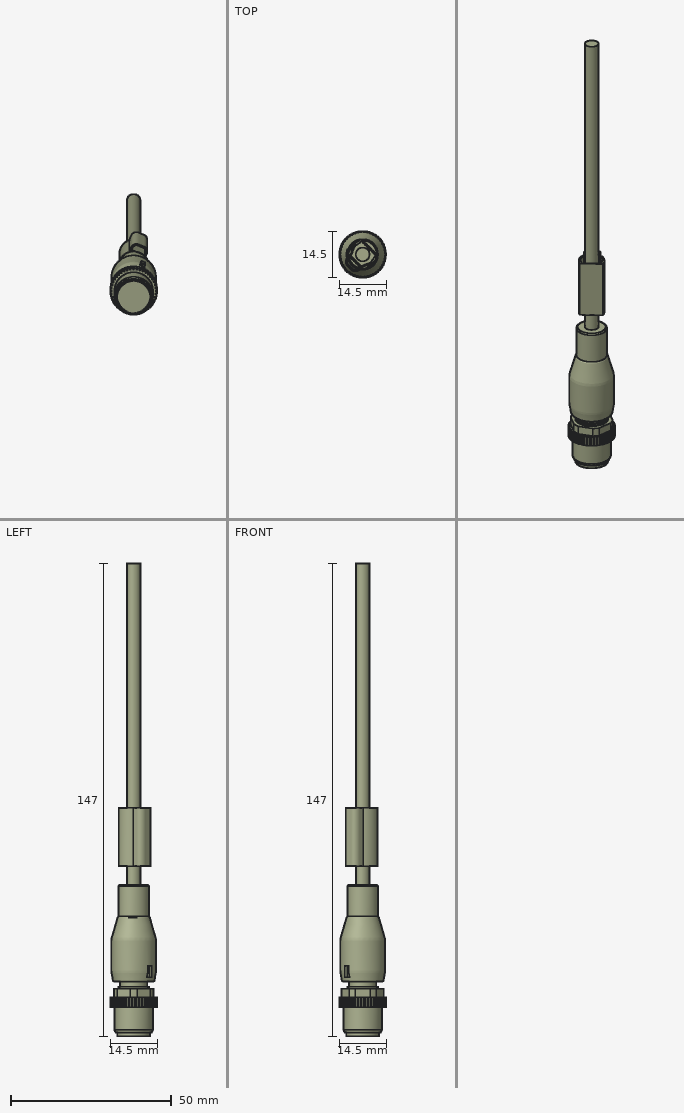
import cadquery as cq
import math

TOTAL_LENGTH = 147.0
DIAGONAL_ANGLE = 225.0

COLLAR_DIAMETER = 10.3
FLANGE_DIAMETER = 9.7
FLANGE_HEIGHT = 0.6
NECK_DIAMETER = 8.5

NUT_BOTTOM_Z = 1.2
KNURL_BOTTOM_Z = 9.1
KNURL_TOP_Z = 12.2
NUT_TOP_Z = 14.8
SHELL_DIAMETER = 12.0
SHELL_CHAMFER_HEIGHT = 0.9
SHELL_CHAMFER_WIDTH = 0.5
KNURL_DIAMETER = 14.5
KNURL_DEPTH = 0.5
KNURL_TEETH = 44
TOOTH_TIP_SHARE = 0.6
TOOTH_ROOT_SHARE = 0.2
HEX_SIDES = 6
HEX_TURN = 30.0
HEX_ACROSS_FLATS = 12.3
HEX_ROUNDING_DIAMETER = 13.2

HOUSING_BOTTOM_Z = 17.0
FOOT_TOP_Z = 20.1
CONE_BOTTOM_Z = 30.3
CONE_TOP_Z = 36.9
SHOULDER_HEIGHT = 0.5
HOUSING_TOP_Z = 47.2
FOOT_DIAMETER = 13.0
HOUSING_DIAMETER = 14.0
CONE_TOP_DIAMETER = 10.1
SPOUT_DIAMETER = 9.5
SPOUT_CHAMFER = 0.5
FOOT_FILLET = 0.6
FOOT_BLEND_RADIUS = 4.4
CONE_BLEND_RADIUS = 3.4

KEY_REACH = 7.4
KEY_BASE_RADIUS = 6.6
KEY_BASE_WIDTH = 1.8
KEY_CREST_WIDTH = 1.2
KEY_BOTTOM_Z = 18.4
KEY_TOP_Z = 21.9

CABLE_DIAMETER = 4.3
CABLE_BOTTOM_Z = CONE_BOTTOM_Z

SLEEVE_BOTTOM_Z = 52.9
SLEEVE_LENGTH = 18.1
SLEEVE_WALL = 0.5
SLEEVE_BACK = -3.1
SLEEVE_BACK_HALF_WIDTH = 3.5
SLEEVE_HALF_WIDTH = 4.0
SLEEVE_SHOULDER = 2.5
LABEL_HALF_WIDTH = 2.6
LABEL_FRONT = 5.9
LABEL_CORNER_RADIUS = 1.8
PARTITION_BACK = 3.0


def cylinder(bottom_z, top_z, diameter):
    """Cylinder on the plug axis."""
    return cq.Workplane("XY").workplane(offset=bottom_z).circle(diameter / 2).extrude(top_z - bottom_z)


def at_height(z):
    """Narrow selector for the edges of a revolved body at one height."""
    reach = HOUSING_DIAMETER
    margin = 0.07
    return cq.selectors.BoxSelector((-reach, -reach, z - margin), (reach, reach, z + margin))


def make_insert():
    flange_top_z = NUT_TOP_Z + FLANGE_HEIGHT
    core = cylinder(0, NUT_TOP_Z, COLLAR_DIAMETER)
    flange = cylinder(NUT_TOP_Z, flange_top_z, FLANGE_DIAMETER)
    neck = cylinder(flange_top_z, HOUSING_BOTTOM_Z, NECK_DIAMETER)
    return core.union(flange).union(neck)


def make_knurled_ring():
    tip_radius = KNURL_DIAMETER / 2
    root_radius = tip_radius - KNURL_DEPTH
    pitch = 2 * math.pi / KNURL_TEETH
    half_tip = pitch * TOOTH_TIP_SHARE / 2
    half_root = pitch * TOOTH_ROOT_SHARE / 2
    outline = []
    for tooth in range(KNURL_TEETH):
        middle = tooth * pitch
        gap = middle + pitch / 2
        for radius, angle in (
            (tip_radius, middle - half_tip),
            (tip_radius, middle + half_tip),
            (root_radius, gap - half_root),
            (root_radius, gap + half_root),
        ):
            outline.append((radius * math.cos(angle), radius * math.sin(angle)))
    base = cq.Workplane("XY").workplane(offset=KNURL_BOTTOM_Z)
    return base.polyline(outline).close().extrude(KNURL_TOP_Z - KNURL_BOTTOM_Z)


def make_hexagon():
    """Hexagon with two flats across Y and its corners turned round."""
    prism = (
        cq.Workplane("XY").workplane(offset=KNURL_TOP_Z)
        .transformed(rotate=(0, 0, HEX_TURN))
        .polygon(HEX_SIDES, HEX_ACROSS_FLATS, circumscribed=True)
        .extrude(NUT_TOP_Z - KNURL_TOP_Z)
    )
    return prism.intersect(cylinder(KNURL_TOP_Z, NUT_TOP_Z, HEX_ROUNDING_DIAMETER))


def make_nut():
    shell = cylinder(NUT_BOTTOM_Z, KNURL_BOTTOM_Z, SHELL_DIAMETER)
    shell = shell.faces("<Z").chamfer(SHELL_CHAMFER_HEIGHT, SHELL_CHAMFER_WIDTH)
    bore = cylinder(NUT_BOTTOM_Z, NUT_TOP_Z, COLLAR_DIAMETER)
    return shell.union(make_knurled_ring()).union(make_hexagon()).cut(bore)


def make_key():
    """Rib with sloping sides, narrower at its crest."""
    outline = [
        (KEY_BASE_RADIUS, -KEY_BASE_WIDTH / 2),
        (KEY_REACH, -KEY_CREST_WIDTH / 2),
        (KEY_REACH, KEY_CREST_WIDTH / 2),
        (KEY_BASE_RADIUS, KEY_BASE_WIDTH / 2),
    ]
    key = (
        cq.Workplane("XY").workplane(offset=KEY_BOTTOM_Z)
        .polyline(outline).close().extrude(KEY_TOP_Z - KEY_BOTTOM_Z)
    )
    return key.rotate((0, 0, 0), (0, 0, 1), DIAGONAL_ANGLE)


def make_housing(cable):
    outline = [
        (0, HOUSING_BOTTOM_Z),
        (FOOT_DIAMETER / 2, HOUSING_BOTTOM_Z),
        (HOUSING_DIAMETER / 2, FOOT_TOP_Z),
        (HOUSING_DIAMETER / 2, CONE_BOTTOM_Z),
        (CONE_TOP_DIAMETER / 2, CONE_TOP_Z),
        (SPOUT_DIAMETER / 2, CONE_TOP_Z + SHOULDER_HEIGHT),
        (SPOUT_DIAMETER / 2, HOUSING_TOP_Z),
        (0, HOUSING_TOP_Z),
    ]
    housing = cq.Workplane("XZ").polyline(outline).close().revolve(360, (0, 0, 0), (0, 1, 0))
    housing = housing.edges(at_height(CONE_BOTTOM_Z)).fillet(CONE_BLEND_RADIUS)
    housing = housing.edges(at_height(FOOT_TOP_Z)).fillet(FOOT_BLEND_RADIUS)
    housing = housing.faces("<Z").edges().fillet(FOOT_FILLET)
    housing = housing.faces(">Z").edges().chamfer(SPOUT_CHAMFER)
    return housing.union(make_key()).cut(cable)


def make_sleeve():
    base = cq.Workplane("XY").workplane(offset=SLEEVE_BOTTOM_Z)
    body = (
        base.moveTo(SLEEVE_BACK, -SLEEVE_BACK_HALF_WIDTH)
        .threePointArc((0, -SLEEVE_HALF_WIDTH), (SLEEVE_SHOULDER, -LABEL_HALF_WIDTH))
        .lineTo(LABEL_FRONT, -LABEL_HALF_WIDTH)
        .lineTo(LABEL_FRONT, LABEL_HALF_WIDTH)
        .lineTo(SLEEVE_SHOULDER, LABEL_HALF_WIDTH)
        .threePointArc((0, SLEEVE_HALF_WIDTH), (SLEEVE_BACK, SLEEVE_BACK_HALF_WIDTH))
        .close().extrude(SLEEVE_LENGTH)
    )
    body = body.edges("|Z").edges(">X").fillet(LABEL_CORNER_RADIUS)

    pocket_half_width = LABEL_HALF_WIDTH - SLEEVE_WALL
    back = SLEEVE_BACK + SLEEVE_WALL
    back_half_width = SLEEVE_BACK_HALF_WIDTH - SLEEVE_WALL
    middle_half_width = SLEEVE_HALF_WIDTH - SLEEVE_WALL
    cable_room = (
        base.moveTo(back, -back_half_width)
        .lineTo(0, -middle_half_width)
        .lineTo(PARTITION_BACK, -pocket_half_width)
        .lineTo(PARTITION_BACK, pocket_half_width)
        .lineTo(0, middle_half_width)
        .lineTo(back, back_half_width)
        .close().extrude(SLEEVE_LENGTH)
    )

    pocket_back = PARTITION_BACK + SLEEVE_WALL
    pocket_front = LABEL_FRONT - SLEEVE_WALL
    pocket = (
        base.center((pocket_back + pocket_front) / 2, 0)
        .rect(pocket_front - pocket_back, 2 * pocket_half_width).extrude(SLEEVE_LENGTH)
        .edges("|Z").edges(">X").fillet(LABEL_CORNER_RADIUS - SLEEVE_WALL)
    )
    sleeve = body.cut(cable_room).cut(pocket)
    return sleeve.rotate((0, 0, 0), (0, 0, 1), DIAGONAL_ANGLE)


cable = cylinder(CABLE_BOTTOM_Z, TOTAL_LENGTH, CABLE_DIAMETER)
insert = make_insert()
nut = make_nut()
housing = make_housing(cable)
sleeve = make_sleeve()

result = cq.Compound.makeCompound([cable.val(), insert.val(), nut.val(), housing.val(), sleeve.val()])